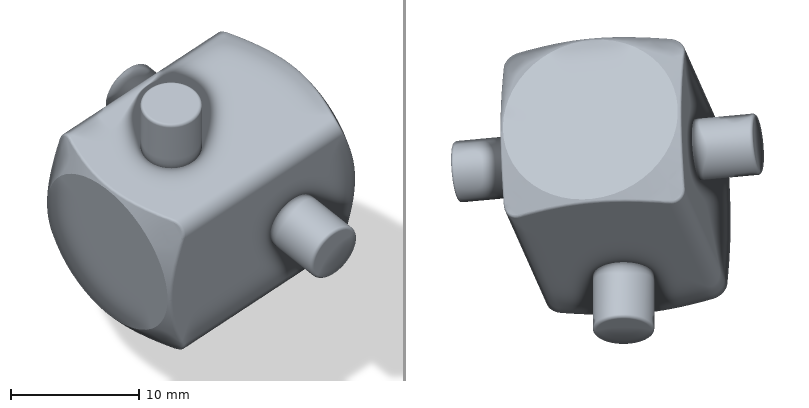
import cadquery as cq
import math

span = 24.0
body_width = 14.4
body_length = 19.7
long_edge_radius = 1.2
end_face_radius = 6.95
cone_angle = 30.0
cone_edge_radius = 0.25
pin_diameter = 4.8
pin_offset = 3.15
pin_edge_radius = 0.25

half_length = body_length / 2
corner_reach = body_width
cone_drop = (corner_reach - end_face_radius) * math.tan(math.radians(cone_angle))


def make_body():
    """Square bar along Y whose corners are turned down to a cone at both ends."""
    bar = cq.Workplane("XY").box(body_width, body_length, body_width)
    bar = bar.edges("|Y").fillet(long_edge_radius)
    envelope = (
        cq.Workplane("XY")
        .moveTo(0, -half_length)
        .lineTo(end_face_radius, -half_length)
        .lineTo(corner_reach, -half_length + cone_drop)
        .lineTo(corner_reach, half_length - cone_drop)
        .lineTo(end_face_radius, half_length)
        .lineTo(0, half_length)
        .close()
        .revolve(360, (0, 0, 0), (0, 1, 0))
    )
    body = bar.intersect(envelope)
    scallops = body.faces("%CONE").edges("not (%CIRCLE or %LINE)")
    return scallops.fillet(cone_edge_radius)


def make_pin_pair(plane, y):
    """One rounded-end rod through the body, standing out on two opposite sides."""
    return (
        cq.Workplane(plane, origin=(0, y, 0))
        .circle(pin_diameter / 2)
        .extrude(span / 2, both=True)
        .edges("%CIRCLE")
        .fillet(pin_edge_radius)
    )


result = make_body()
result = result.union(make_pin_pair("YZ", pin_offset))
result = result.union(make_pin_pair("XY", -pin_offset))